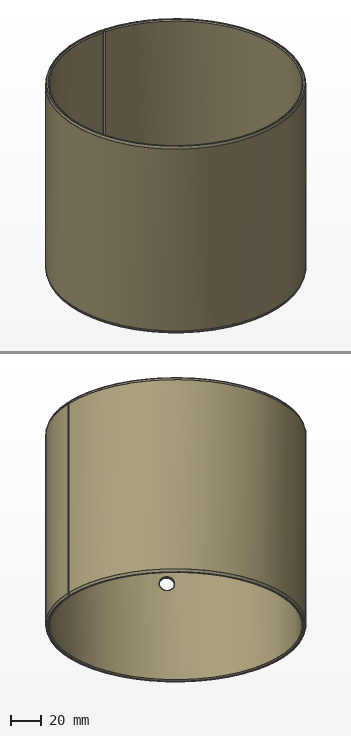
import cadquery as cq
import math

outer_diameter = 170.0
wall = 2.5
height = 140.0

lead_in_height = 1.8
lead_in_angle = 20.0

inner_chamfer = 0.8

slit_angle = 1.0

hole_diameter = 10.0
hole_angle = 59.0
hole_z = height / 2

outer_radius = outer_diameter / 2
inner_radius = outer_radius - wall
lead_in_depth = lead_in_height * math.tan(math.radians(lead_in_angle))


def make_slit_tube():
    """Chamfered wall section swept from the -X direction, through -Y, almost all the way round."""
    rim_outer = outer_radius - lead_in_depth
    rim_inner = inner_radius + inner_chamfer
    section = (
        cq.Workplane("XZ")
        .moveTo(-rim_outer, 0)
        .lineTo(-rim_inner, 0)
        .lineTo(-inner_radius, inner_chamfer)
        .lineTo(-inner_radius, height - inner_chamfer)
        .lineTo(-rim_inner, height)
        .lineTo(-rim_outer, height)
        .lineTo(-outer_radius, height - lead_in_height)
        .lineTo(-outer_radius, lead_in_height)
        .close()
    )
    return section.revolve(360 - slit_angle, (0, 0), (0, 1))


def make_hole():
    """Cylinder running outwards from the tube axis, through one side of the wall."""
    angle = math.radians(hole_angle)
    direction = cq.Vector(math.cos(angle), math.sin(angle), 0)
    start = cq.Vector(0, 0, hole_z)
    return cq.Solid.makeCylinder(hole_diameter / 2, outer_diameter, start, direction)


result = make_slit_tube().cut(make_hole())